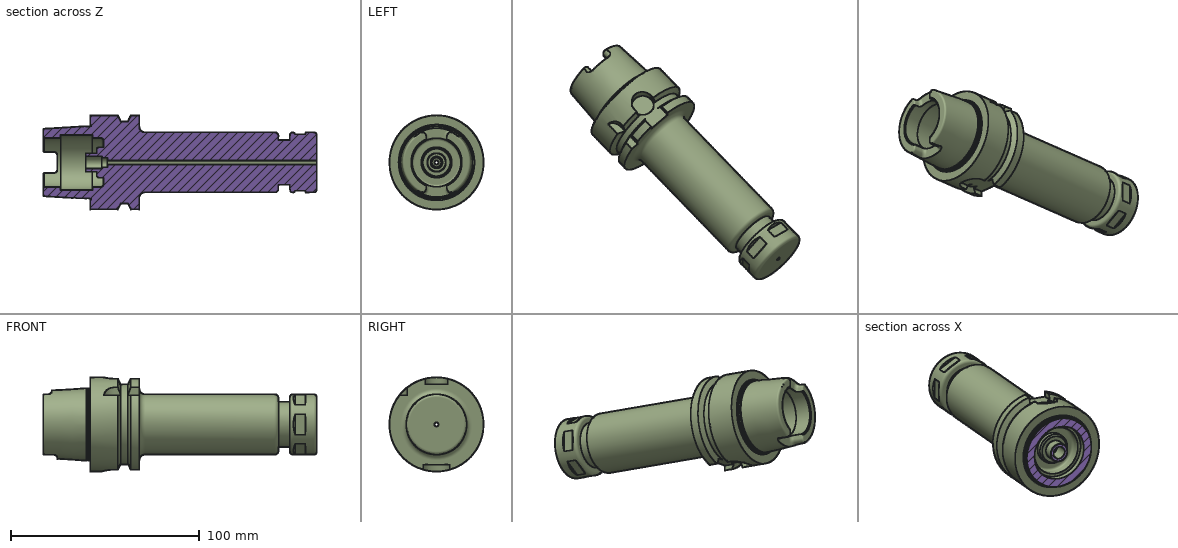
import cadquery as cq
import math


shank_end_radius = 18.0
shank_base_radius = 19.3
shank_edge_round = 1.0
relief_start = 22.8
relief_step = 0.9
relief_depth = 0.3
face_recess_radius = 20.2
face_recess_depth = 0.6

flange_start = 25.0
flange_end = 51.0
flange_diameter = 50.0
flange_radius = flange_diameter / 2
groove_radius = 21.8
groove_top_start = 39.6
groove_floor_start = 41.2
groove_floor_end = 44.8
groove_top_end = 46.4

body_diameter = 32.0
body_radius = body_diameter / 2
body_fillet = 2.9
body_end = 124.7
body_end_round = 2.0
neck_radius = 12.0
nut_start = 130.6
nut_end = 145.0
nut_edge_round = 1.6

flat_count = 6
first_flat_angle = 30.0
flat_distance = 15.1
flat_start = 133.5
flat_end = 138.8
flat_start_slope = 1.0
flat_end_slope = 0.5
flat_cut_width = 13.0

bore_radius = 12.9
bore_entry_chamfer = 0.6
lip_depth = 9.3
undercut_radius = 14.5
undercut_end = 26.1
bore_floor = 31.9
bore_floor_round = 1.3
collar_radius = 8.1
collar_chamfer = 0.9
collar_length = 3.6
tube_diameter = 10.0
tube_radius = tube_diameter / 2
tube_chamfer = 0.22
tube_length = 5.8
tube_bore_radius = 3.2
tube_bore_depth = 8.7
tube_step_radius = 2.5
tube_step_depth = 11.6
through_radius = 1.0

drive_slot_half_width = 5.5
drive_slot_depth_top = 4.5
drive_slot_depth_bottom = 7.4
drive_slot_floor_round = 1.7
drive_slot_entry_round = 0.9
drive_flare_start = 13.8
drive_flare_radius = 2.3

clearance = 1.5

keyway_center = 37.8
keyway_top_width = 11.7
keyway_bottom_width = 14.0
keyway_floor = 21.3
pocket_floor = 18.5
notch_width = 12.0
notch_wall = 15.5
notch_floor = notch_wall


def outer_body():
    """Solid of revolution holding every outer round surface."""
    relief_middle = relief_start + relief_step
    relief_end = relief_middle + relief_step
    relief_radius = shank_base_radius - relief_depth
    diagonal = math.sqrt(0.5)
    fillet_middle_x = flange_end + body_fillet * (1 - diagonal)
    fillet_middle_r = body_radius + body_fillet * (1 - diagonal)
    profile = (
        cq.Workplane("XY")
        .lineTo(0, shank_end_radius - shank_edge_round)
        .radiusArc((shank_edge_round, shank_end_radius), shank_edge_round)
        .lineTo(relief_start, shank_base_radius)
        .lineTo(relief_middle, relief_radius)
        .lineTo(relief_end, shank_base_radius)
        .lineTo(flange_start + face_recess_depth, shank_base_radius)
        .lineTo(flange_start, face_recess_radius)
        .lineTo(flange_start, flange_radius)
        .lineTo(groove_top_start, flange_radius)
        .lineTo(groove_floor_start, groove_radius)
        .lineTo(groove_floor_end, groove_radius)
        .lineTo(groove_top_end, flange_radius)
        .lineTo(flange_end, flange_radius)
        .lineTo(flange_end, body_radius + body_fillet)
        .threePointArc((fillet_middle_x, fillet_middle_r), (flange_end + body_fillet, body_radius))
        .lineTo(body_end - body_end_round, body_radius)
        .radiusArc((body_end, body_radius - body_end_round), body_end_round)
        .lineTo(body_end, neck_radius)
        .lineTo(nut_start, neck_radius)
        .lineTo(nut_start, body_radius - nut_edge_round)
        .radiusArc((nut_start + nut_edge_round, body_radius), nut_edge_round)
        .lineTo(nut_end - nut_edge_round, body_radius)
        .radiusArc((nut_end, body_radius - nut_edge_round), nut_edge_round)
        .lineTo(nut_end, 0)
        .close()
    )
    return profile.revolve(360, (0, 0, 0), (1, 0, 0))


def x_cylinder(start, end, radius):
    """Cylinder on the X axis between two stations."""
    return cq.Workplane("YZ", origin=(start, 0, 0)).circle(radius).extrude(end - start)


def shank_bore():
    """Bore cavity with an entry chamfer, an undercut behind the lip and a rounded floor."""
    profile = (
        cq.Workplane("XY")
        .lineTo(0, bore_radius + bore_entry_chamfer)
        .lineTo(bore_entry_chamfer, bore_radius)
        .lineTo(lip_depth, bore_radius)
        .lineTo(lip_depth, undercut_radius)
        .lineTo(undercut_end, undercut_radius)
        .lineTo(undercut_end, bore_radius)
        .lineTo(bore_floor - bore_floor_round, bore_radius)
        .radiusArc((bore_floor, bore_radius - bore_floor_round), bore_floor_round)
        .lineTo(bore_floor, 0)
        .close()
    )
    return profile.revolve(360, (0, 0, 0), (1, 0, 0))


def coolant_tube():
    """Collar and tube standing on the bore floor."""
    collar_face = bore_floor - collar_length
    tube_face = collar_face - tube_length
    collar = x_cylinder(collar_face, bore_floor, collar_radius).faces("<X").chamfer(collar_chamfer)
    tube = x_cylinder(tube_face, bore_floor, tube_radius).faces("<X").chamfer(tube_chamfer)
    return collar.union(tube)


def coolant_passage():
    """Stepped hole from the tube mouth, ending in a narrow hole through the whole part."""
    tube_face = bore_floor - collar_length - tube_length
    passage = x_cylinder(0, nut_end, through_radius)
    passage = passage.union(x_cylinder(tube_face, tube_face + tube_step_depth, tube_step_radius))
    return passage.union(x_cylinder(tube_face, tube_face + tube_bore_depth, tube_bore_radius))


def drive_slot(side, depth):
    """Cutter for one drive slot; the walls flare outward and side is +1 for up, -1 for down."""
    wall = drive_slot_half_width
    flare_end = drive_flare_start + drive_flare_radius
    outside = shank_base_radius + clearance
    wide = wall + drive_flare_radius
    shoulder = wide + clearance
    diagonal = math.sqrt(0.5)
    arc_y = wall + drive_flare_radius * (1 - diagonal)
    arc_z = drive_flare_start + drive_flare_radius * diagonal
    profile = (
        cq.Workplane("YZ")
        .moveTo(-wall, 0)
        .lineTo(wall, 0)
        .lineTo(wall, side * drive_flare_start)
        .threePointArc((arc_y, side * arc_z), (wide, side * flare_end))
        .lineTo(shoulder, side * flare_end)
        .lineTo(shoulder, side * outside)
        .lineTo(-shoulder, side * outside)
        .lineTo(-shoulder, side * flare_end)
        .lineTo(-wide, side * flare_end)
        .threePointArc((-arc_y, side * arc_z), (-wall, side * drive_flare_start))
        .close()
    )
    cutter = profile.extrude(depth)
    walls = cq.selectors.BoxSelector((-clearance, -wide, -flare_end), (depth + clearance, wide, flare_end))
    floor_edges = cutter.faces(">X").edges(walls).edges("|Z or %CIRCLE")
    cutter = floor_edges.fillet(drive_slot_floor_round)

    slab_size = 4 * outside
    slab = cq.Workplane("YZ").rect(slab_size, slab_size).extrude(-clearance)
    cutter = cutter.union(slab)
    tolerance = 0.01
    mouth = cq.selectors.BoxSelector((-tolerance, -wide, -flare_end), (tolerance, wide, flare_end))
    mouth_edges = cutter.edges(mouth).edges("|Z or %CIRCLE")
    return mouth_edges.fillet(drive_slot_entry_round)


def rim_slot(center_y, width, floor, top):
    """Round-ended slot cutter running off the nut side of the flange, between two heights."""
    radius = width / 2
    length = flange_end - keyway_center
    base = cq.Workplane("XY", origin=(keyway_center, center_y, floor))
    round_end = base.circle(radius).extrude(top - floor)
    straight = base.center(length / 2, 0).rect(length, width).extrude(top - floor)
    return round_end.union(straight)


def nut_flat(angle):
    """Cutter for one wrench flat, with sloped ends."""
    outside = body_radius + clearance
    rise = (outside - flat_distance) / (body_radius - flat_distance)
    cutter = (
        cq.Workplane("XZ")
        .moveTo(flat_start, flat_distance)
        .lineTo(flat_end, flat_distance)
        .lineTo(flat_end + flat_end_slope * rise, outside)
        .lineTo(flat_start - flat_start_slope * rise, outside)
        .close()
        .extrude(flat_cut_width / 2, both=True)
    )
    return cutter.rotate((0, 0, 0), (1, 0, 0), angle)


result = outer_body().cut(shank_bore())
for side, depth in ((1, drive_slot_depth_top), (-1, drive_slot_depth_bottom)):
    result = result.cut(drive_slot(side, depth))
result = result.union(coolant_tube()).cut(coolant_passage())

outside = flange_radius + clearance
result = result.cut(rim_slot(0, keyway_top_width, keyway_floor, outside))
result = result.cut(rim_slot(0, keyway_bottom_width, -outside, -keyway_floor))
result = result.cut(rim_slot(-notch_wall - notch_width / 2, notch_width, notch_floor, outside))
pocket = cq.Workplane("XY", origin=(keyway_center, 0, pocket_floor)).circle(keyway_top_width / 2)
result = result.cut(pocket.extrude(outside - pocket_floor))
for index in range(flat_count):
    result = result.cut(nut_flat(first_flat_angle + index * 360 / flat_count))